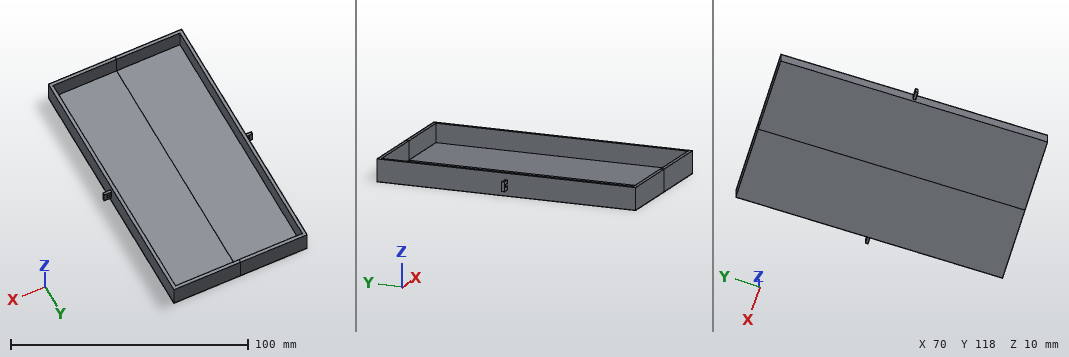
import cadquery as cq

overall_width = 70.0
tray_length = 118.0
tray_height = 10.0
wall = 1.5
floor_thickness = 1.5

lug_reach = 3.5
lug_thickness = 1.2
lug_height = 4.2
lug_rim = 1.5
slot_height = 1.2

half_width = overall_width / 2 - lug_reach
lug_mid_height = tray_height / 2


def block(x_start, x_size, y_size, z_size, z_mid):
    """Box spanning x_size from x_start, centred on Y = 0 and Z = z_mid."""
    return cq.Workplane("XY").box(x_size, y_size, z_size).translate((x_start + x_size / 2, 0, z_mid))


def tray_shell():
    """Right-hand half of the open tray, with no wall along the seam."""
    outer = block(0, half_width, tray_length, tray_height, tray_height / 2)
    cavity_height = tray_height - floor_thickness
    cavity = block(
        0,
        half_width - wall,
        tray_length - 2 * wall,
        cavity_height,
        floor_thickness + cavity_height / 2,
    )
    return outer.cut(cavity)


def lug():
    """Thin upright lug with a slot that runs from the tray wall to the lug's outer rim."""
    plate = block(half_width, lug_reach, lug_thickness, lug_height, lug_mid_height)
    slot = block(half_width, lug_reach - lug_rim, lug_thickness, slot_height, lug_mid_height)
    return plate.cut(slot)


def tray_half():
    """Right-hand tray half with its lug, as one solid."""
    return tray_shell().union(lug())


right_half = tray_half()
left_half = tray_half().mirror("YZ")

result = cq.Compound.makeCompound([left_half.solids().val(), right_half.solids().val()])